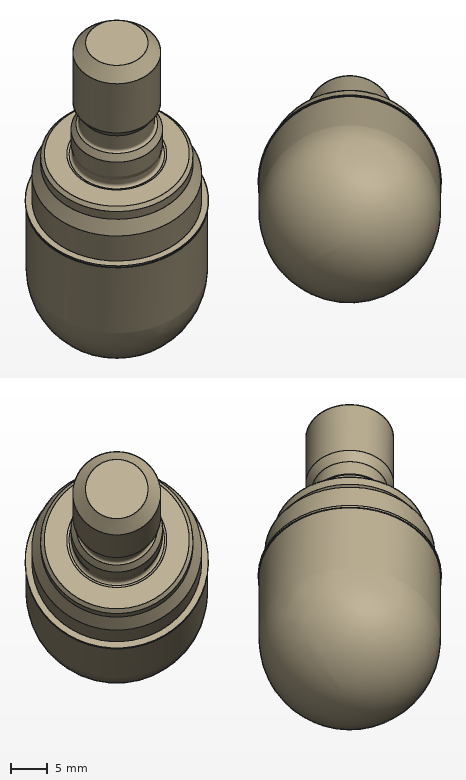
import cadquery as cq
import math

stem_r = 12.0 / 2
stem_tip_r = 4.25
neck_r = 10.35 / 2
bead_r = 12.5 / 2
root_r = 12.1 / 2

tip_z = 56.9
tip_chamfer_z = 55.05
stem_end_z = 45.35
neck_top_z = 43.9
neck_fillet = 0.4
bead_slope_z = 40.85
bead_top_z = 39.8
bead_bottom_z = 36.9
root_top_z = 36.1

shoulder_r = 20.8 / 2
collar_r = 23.2 / 2
shoulder_z = 34.95
shoulder_chamfer = 0.5
shoulder_bottom_z = 32.9
collar_top_z = 30.85

recess_r = 6.8
recess_depth = 0.1
root_fillet = 0.45

rim_r = 12.5
rim_z = 25.9
rim_height = 0.4
dome_r = 12.4

DIAGONAL = math.sqrt(0.5)


def fillet_middle(wall_r, floor_z, fillet):
    """Middle point of a concave fillet between an upright wall and a floor."""
    inset = fillet * (1 - DIAGONAL)
    return (wall_r + inset, floor_z + inset)


def make_stem():
    """Stem and collar: one turned body standing on the flat top of the dome."""
    recess_z = shoulder_z - recess_depth
    profile = (
        cq.Workplane("XZ")
        .moveTo(0, tip_z)
        .lineTo(stem_tip_r, tip_z)
        .lineTo(stem_r, tip_chamfer_z)
        .lineTo(stem_r, stem_end_z)
        .lineTo(neck_r, neck_top_z)
        .lineTo(neck_r, bead_slope_z + neck_fillet)
        .threePointArc(
            fillet_middle(neck_r, bead_slope_z, neck_fillet),
            (neck_r + neck_fillet, bead_slope_z),
        )
        .lineTo(bead_r, bead_top_z)
        .lineTo(bead_r, bead_bottom_z)
        .lineTo(root_r, root_top_z)
        .lineTo(root_r, recess_z + root_fillet)
        .threePointArc(
            fillet_middle(root_r, recess_z, root_fillet),
            (root_r + root_fillet, recess_z),
        )
        .lineTo(recess_r, shoulder_z)
        .lineTo(shoulder_r - shoulder_chamfer, shoulder_z)
        .lineTo(shoulder_r, shoulder_z - shoulder_chamfer)
        .lineTo(shoulder_r, shoulder_bottom_z)
        .lineTo(collar_r, collar_top_z)
        .lineTo(collar_r, rim_z)
        .lineTo(0, rim_z)
        .close()
    )
    return profile.revolve(360, (0, 0), (0, 1))


def make_dome():
    """Cap with a thin rim on top and a hemispherical lower end."""
    profile = (
        cq.Workplane("XZ")
        .moveTo(0, rim_z)
        .lineTo(rim_r, rim_z)
        .lineTo(rim_r, rim_z - rim_height)
        .lineTo(dome_r, rim_z - rim_height)
        .lineTo(dome_r, dome_r)
        .threePointArc((dome_r * DIAGONAL, dome_r * (1 - DIAGONAL)), (0, 0))
        .close()
    )
    return profile.revolve(360, (0, 0), (0, 1))


stem = make_stem()
dome = make_dome()

result = cq.Compound.makeCompound([stem.val(), dome.val()])